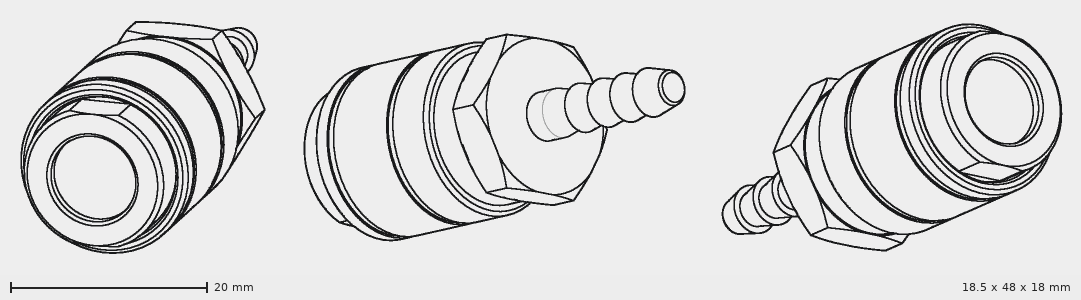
import cadquery as cq
import math

total_length = 48.0

nose_radius = 7.5
nose_chamfer = 0.5
nose_flats_width = 14.0
socket_mouth_radius = 4.9
socket_bore_radius = 4.55
socket_depth = 1.3
socket_cone_depth = 0.35

sleeve_front = 3.5
sleeve_back = 20.5
sleeve_radius = 9.0
sleeve_chamfer = 0.45
groove_depth = 0.2
front_groove_start = 5.55
front_groove_end = 6.55
back_groove_start = 14.55
back_groove_end = 15.45
recess_mouth_radius = 8.0
recess_waist_radius = 7.75
recess_floor_radius = nose_radius
recess_lead_in = 0.3
recess_depth = 0.95

neck_radius = 7.9
hex_front = 24.1
hex_back = 28.6
hex_flats_width = 16.0
hex_chamfer_radial = 1.15
hex_chamfer_axial = 0.7

stem_radius = 2.55
barb_start = 30.95
barb_count = 5
barb_root_radius = 1.8
tip_chamfer = 0.3


def revolve_profile(points):
    """Revolve (radius, y) points about the Y axis."""
    return cq.Workplane("XY").polyline(points).close().revolve(360, (0, 0, 0), (0, 1, 0))


def make_nose():
    nose = revolve_profile([
        (0, 0),
        (nose_radius - nose_chamfer, 0),
        (nose_radius, nose_chamfer),
        (nose_radius, sleeve_back),
        (0, sleeve_back),
    ])
    flats = cq.Workplane("XY").box(
        2 * nose_radius, 2 * sleeve_back, nose_flats_width
    )
    socket = revolve_profile([
        (0, 0),
        (socket_mouth_radius, 0),
        (socket_bore_radius, socket_cone_depth),
        (socket_bore_radius, socket_depth),
        (0, socket_depth),
    ])
    return nose.intersect(flats).cut(socket)


def make_sleeve():
    groove_radius = sleeve_radius - groove_depth
    recess_floor = sleeve_front + recess_depth
    return revolve_profile([
        (0, recess_floor),
        (recess_floor_radius, recess_floor),
        (recess_waist_radius, sleeve_front + recess_lead_in),
        (recess_mouth_radius, sleeve_front),
        (sleeve_radius - sleeve_chamfer, sleeve_front),
        (sleeve_radius, sleeve_front + sleeve_chamfer),
        (sleeve_radius, front_groove_start),
        (groove_radius, front_groove_start),
        (groove_radius, front_groove_end),
        (sleeve_radius, front_groove_end),
        (sleeve_radius, back_groove_start),
        (groove_radius, back_groove_start),
        (groove_radius, back_groove_end),
        (sleeve_radius, back_groove_end),
        (sleeve_radius, sleeve_back - sleeve_chamfer),
        (sleeve_radius - sleeve_chamfer, sleeve_back),
        (0, sleeve_back),
    ])


def make_neck():
    return revolve_profile([
        (0, sleeve_back),
        (neck_radius, sleeve_back),
        (neck_radius, hex_front),
        (0, hex_front),
    ])


def make_hexagon():
    corner_radius = hex_flats_width / 2 / math.cos(math.pi / 6)
    face_radius = corner_radius - hex_chamfer_radial
    prism = (
        cq.Workplane("XZ", origin=(0, hex_back, 0))
        .polygon(6, 2 * corner_radius)
        .extrude(hex_back - hex_front)
    )
    envelope = revolve_profile([
        (0, hex_front),
        (face_radius, hex_front),
        (corner_radius, hex_front + hex_chamfer_axial),
        (corner_radius, hex_back - hex_chamfer_axial),
        (face_radius, hex_back),
        (0, hex_back),
    ])
    return prism.intersect(envelope)


def make_hose_barb():
    pitch = (total_length - barb_start) / barb_count
    points = [(0, hex_back), (stem_radius, hex_back), (stem_radius, barb_start)]
    for index in range(1, barb_count):
        barb_end = barb_start + index * pitch
        points.append((barb_root_radius, barb_end))
        points.append((stem_radius, barb_end))
    points += [
        (barb_root_radius, total_length - tip_chamfer),
        (barb_root_radius - tip_chamfer, total_length),
        (0, total_length),
    ]
    return revolve_profile(points)


result = (
    make_nose()
    .union(make_sleeve())
    .union(make_neck())
    .union(make_hexagon())
    .union(make_hose_barb())
)